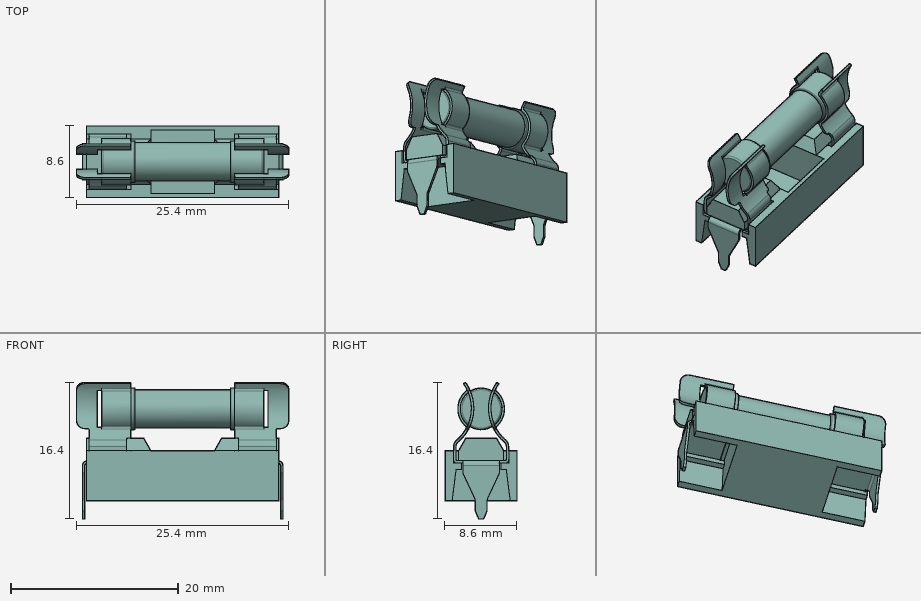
import cadquery as cq
import math

housing_length = 23.0
housing_width = 8.6
housing_height = 6.0
end_x = housing_length / 2

pocket_length = 7.6
pocket_width = 7.6
pocket_floor = 1.0

block_top = 7.5
block_base_width = 5.4
block_top_width = 3.7
block_slope_run = 0.85

cavity_top = 3.75
cavity_top_width = 6.0
cavity_bottom_width = 6.95
tab_notch_width = 4.7

sheet = 0.3
clip_width = 6.6
seat_z = 4.5
base_top_z = seat_z + sheet
foot_bend_radius = 0.15
shoulder_z = 6.5
shoulder_radius = 1.0
lobe_radius = 5.0
lobe_z = 11.08
clip_top = 14.18

clip_outer_x = 12.7
wing_z = 8.62
foot_outer_x = 11.2
foot_inner_x = 6.7
foot_notch_z = 7.5
clip_inner_x = 6.2
wing_corner_radius = 1.0
small_corner_radius = 0.15
window_outer_x = 10.2
window_bottom = 8.83
window_top = 13.17
grip_inner_fillet = 0.45
grip_outer_fillet = 0.28

tab_outer_x = 12.0
tab_bend_radius = 0.3
tab_width = 4.36
tab_pin_width = 1.45
tab_tip_width = 0.6
tab_shoulder_z = 3.3
tab_pin_top_z = 0.2
tab_tip_taper_z = -1.2
tab_tip_z = -2.19
tab_corner_radius = 0.5

fuse_z = 11.0
cap_radius = 2.5
cap_outer_x = 9.7
cap_length = 4.0
cap_end_fillet = 0.2
cap_rim_fillet = 0.1
glass_radius = 2.3
cap_inner_x = cap_outer_x - cap_length


def box(x0, x1, y0, y1, z0, z1):
    """Box between two opposite corners."""
    return cq.Workplane("XY").box(x1 - x0, y1 - y0, z1 - z0, centered=False).translate((x0, y0, z0))


def select_near(x0, x1, y0, y1, z0, z1):
    """Selector for edges whose centre lies in the given box, or a hair outside it."""
    reach = 0.02
    return cq.selectors.BoxSelector(
        (x0 - reach, y0 - reach, z0 - reach), (x1 + reach, y1 + reach, z1 + reach)
    )


def both_ends(left):
    """The given left-hand shape and its mirror image at the right-hand end."""
    return [left, left.mirror("YZ")]


def polar(centre, radius, angle):
    """Point on a circle, with the angle in radians."""
    return (centre[0] + radius * math.cos(angle), centre[1] + radius * math.sin(angle))


def left_block():
    """Block over the clip base, with sloping sides above the tray and a sloping inner end."""
    half_base = block_base_width / 2
    half_top = block_top_width / 2
    section = [
        (-half_base, seat_z),
        (half_base, seat_z),
        (half_base, housing_height),
        (half_top, block_top),
        (-half_top, block_top),
        (-half_base, housing_height),
    ]
    inner_x = -pocket_length / 2
    side = [
        (-end_x, seat_z),
        (inner_x, seat_z),
        (inner_x, housing_height),
        (inner_x - block_slope_run, block_top),
        (-end_x, block_top),
    ]
    across = cq.Workplane("YZ").polyline(section).close().extrude(housing_length, both=True)
    along = cq.Workplane("XZ").polyline(side).close().extrude(housing_width / 2, both=True)
    return across.intersect(along)


def left_clip_seat():
    """Room for the clip: a slot under the block, and a groove on each side of it."""
    half_block = block_base_width / 2
    half_clip = clip_width / 2
    cut = box(-end_x, -clip_inner_x, -half_clip, half_clip, seat_z, base_top_z)
    for y0, y1 in ((-half_clip, -half_block), (half_block, half_clip)):
        cut = cut.union(box(-end_x, -clip_inner_x, y0, y1, seat_z, housing_height))
    return cut


def left_cavity():
    """Tapered hollow open at the end and bottom, with a notch up to the clip seat."""
    outline = [
        (-cavity_bottom_width / 2, 0),
        (cavity_bottom_width / 2, 0),
        (cavity_top_width / 2, cavity_top),
        (-cavity_top_width / 2, cavity_top),
    ]
    depth = end_x - clip_inner_x
    hollow = cq.Workplane("YZ").workplane(offset=-end_x).polyline(outline).close().extrude(depth)
    half_notch = tab_notch_width / 2
    notch = box(-end_x, -clip_inner_x, -half_notch, half_notch, cavity_top, seat_z)
    return hollow.union(notch)


def make_housing():
    body = box(-end_x, end_x, -housing_width / 2, housing_width / 2, 0, housing_height)
    for block in both_ends(left_block()):
        body = body.union(block)
    for cut in both_ends(left_clip_seat()) + both_ends(left_cavity()):
        body = body.cut(cut)
    half_length = pocket_length / 2
    half_width = pocket_width / 2
    pocket = box(-half_length, half_length, -half_width, half_width, pocket_floor, housing_height)
    return body.cut(pocket)


shoulder_centre = (clip_width / 2 - shoulder_radius, shoulder_z)
lean_angle = math.asin((lobe_z - shoulder_z) / (shoulder_radius + lobe_radius))
lobe_y = shoulder_centre[0] + (shoulder_radius + lobe_radius) * math.cos(lean_angle)
lobe_centre = (lobe_y, lobe_z)
lobe_inner_radius = lobe_radius + sheet
lobe_start = math.pi + lean_angle
lobe_end = math.pi - math.asin((clip_top - lobe_z) / lobe_inner_radius)
fuse_centre = (0, fuse_z)


def half_clip_section(x0, x1):
    """Half the base and the +Y wall, from x0 to x1."""
    wall_y = clip_width / 2
    outer_bend = foot_bend_radius + sheet
    foot_centre = (wall_y - outer_bend, seat_z + outer_bend)
    foot_middle = -math.pi / 4
    shoulder_inner = shoulder_radius - sheet
    return (
        cq.Workplane("YZ").workplane(offset=x0)
        .moveTo(0, seat_z)
        .lineTo(foot_centre[0], seat_z)
        .threePointArc(polar(foot_centre, outer_bend, foot_middle), (wall_y, foot_centre[1]))
        .lineTo(wall_y, shoulder_z)
        .threePointArc(
            polar(shoulder_centre, shoulder_radius, lean_angle / 2),
            polar(shoulder_centre, shoulder_radius, lean_angle),
        )
        .threePointArc(polar(lobe_centre, lobe_radius, math.pi), polar(lobe_centre, lobe_radius, lobe_end))
        .lineTo(*polar(lobe_centre, lobe_inner_radius, lobe_end))
        .threePointArc(
            polar(lobe_centre, lobe_inner_radius, math.pi),
            polar(lobe_centre, lobe_inner_radius, lobe_start),
        )
        .threePointArc(
            polar(shoulder_centre, shoulder_inner, lean_angle / 2),
            (wall_y - sheet, shoulder_z),
        )
        .lineTo(wall_y - sheet, foot_centre[1])
        .threePointArc(polar(foot_centre, foot_bend_radius, foot_middle), (foot_centre[0], base_top_z))
        .lineTo(0, base_top_z)
        .close()
        .extrude(x1 - x0)
    )


def bulged_section(x0, x1):
    """Half section from x0 to x1 whose wall bulges outward around the fuse cap, rounded inside."""
    length = x1 - x0

    def cylinder(centre, radius):
        return cq.Workplane("YZ").workplane(offset=x0).center(*centre).circle(radius).extrude(length)

    bulge = cylinder(fuse_centre, cap_radius + sheet).intersect(cylinder(lobe_centre, lobe_inner_radius))
    section = half_clip_section(x0, x1).union(bulge).cut(cylinder(fuse_centre, cap_radius))
    return round_bends(section, cap_radius, lobe_inner_radius, grip_inner_fillet, x0, x1)


def grip_section(x0, x1):
    """Half section that grips the fuse cap, rounded on both faces of the bends."""
    section = bulged_section(x0, x1)
    return round_bends(section, cap_radius + sheet, lobe_radius, grip_outer_fillet, x0, x1)


def window_section(x0, x1):
    """Half section with the open window beside the grip; the grip's inner rounding runs on over it."""
    window = box(x0, x1, 0, clip_width, window_bottom, window_top)
    return bulged_section(x0, x1).intersect(half_clip_section(x0, x1)).cut(window)


def round_bends(section, fuse_side_radius, lobe_side_radius, fillet, x0, x1):
    """Fillet the two edges where a circle about the fuse crosses a circle about the lobe centre."""
    span = math.hypot(lobe_centre[0], lobe_centre[1] - fuse_z)
    tilt = math.atan2(lobe_centre[1] - fuse_z, lobe_centre[0])
    cosine = (span**2 + fuse_side_radius**2 - lobe_side_radius**2) / (2 * span * fuse_side_radius)
    for side in (1, -1):
        y, z = polar(fuse_centre, fuse_side_radius, tilt + side * math.acos(cosine))
        section = section.edges(select_near(x0, x1, y, y, z, z)).fillet(fillet)
    return section


def clip_side_outline():
    """Side outline of the walls: a foot in the housing, and a wing that overhangs the end."""
    half_width = clip_width
    foot = box(-foot_outer_x, -foot_inner_x, -half_width, half_width, seat_z, foot_notch_z)
    wall = box(-foot_outer_x, -clip_inner_x, -half_width, half_width, foot_notch_z, clip_top)
    wing = box(-clip_outer_x, -foot_outer_x, -half_width, half_width, wing_z, clip_top)
    outline = foot.union(wall).union(wing).clean()
    outline = outline.faces("<X").edges("<Z").fillet(wing_corner_radius)
    corners = (
        (foot_outer_x, wing_z),
        (foot_inner_x, foot_notch_z),
        (clip_inner_x, foot_notch_z),
        (clip_inner_x, clip_top),
    )
    for x, z in corners:
        near_edge = select_near(-x, -x, -half_width, half_width, z, z)
        outline = outline.edges(near_edge).fillet(small_corner_radius)
    return outline


def left_tab():
    """Solder tab: leaves the base, bends down outside the housing and narrows to a pin."""
    outer_bend = tab_bend_radius + sheet
    middle = 3 * math.pi / 4
    bend_centre = (-tab_outer_x + outer_bend, base_top_z - outer_bend)
    strip = (
        cq.Workplane("XZ")
        .moveTo(-foot_outer_x, base_top_z)
        .lineTo(bend_centre[0], base_top_z)
        .threePointArc(polar(bend_centre, outer_bend, middle), (-tab_outer_x, bend_centre[1]))
        .lineTo(-tab_outer_x, tab_tip_z)
        .lineTo(-tab_outer_x + sheet, tab_tip_z)
        .lineTo(-tab_outer_x + sheet, bend_centre[1])
        .threePointArc(polar(bend_centre, tab_bend_radius, middle), (bend_centre[0], seat_z))
        .lineTo(-foot_outer_x, seat_z)
        .close()
        .extrude(tab_width, both=True)
    )
    right_side = [
        (tab_tip_width / 2, tab_tip_z),
        (tab_pin_width / 2, tab_tip_taper_z),
        (tab_pin_width / 2, tab_pin_top_z),
        (tab_width / 2, tab_shoulder_z),
        (tab_width / 2, base_top_z),
    ]
    left_side = [(-y, z) for y, z in reversed(right_side)]
    face = cq.Workplane("YZ").polyline(right_side + left_side).close().extrude(-2 * tab_outer_x)
    for z in (tab_tip_taper_z, tab_pin_top_z, tab_shoulder_z):
        bends = select_near(-2 * tab_outer_x, 0, -tab_width, tab_width, z, z)
        face = face.edges("|X").edges(bends).fillet(tab_corner_radius)
    return strip.intersect(face)


def make_left_clip():
    wing = half_clip_section(-clip_outer_x, -window_outer_x)
    wing = wing.faces("<X").edges(">Z").fillet(wing_corner_radius)
    half = wing.union(window_section(-window_outer_x, -cap_outer_x))
    half = half.union(grip_section(-cap_outer_x, -clip_inner_x))
    walls = half.union(half.mirror("XZ")).intersect(clip_side_outline())
    return walls.union(left_tab())


def make_left_cap():
    return (
        cq.Workplane("YZ").workplane(offset=-cap_outer_x)
        .center(*fuse_centre)
        .circle(cap_radius)
        .extrude(cap_length)
        .faces("<X").edges().fillet(cap_end_fillet)
        .faces(">X").edges().fillet(cap_rim_fillet)
    )


def make_glass():
    return (
        cq.Workplane("YZ").workplane(offset=-cap_inner_x)
        .center(*fuse_centre)
        .circle(glass_radius)
        .extrude(2 * cap_inner_x)
    )


housing = make_housing()
clips = both_ends(make_left_clip())
caps = both_ends(make_left_cap())
glass = make_glass()

bodies = [housing] + clips + caps + [glass]
result = cq.Compound.makeCompound([body.solids().val() for body in bodies])